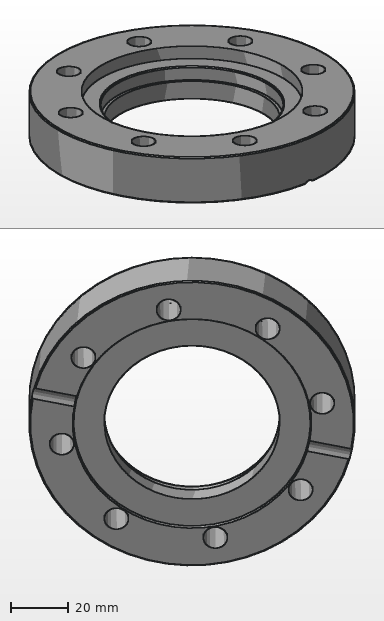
import cadquery as cq

flange_diameter = 113.5
flange_height = 17.5
rim_chamfer = 0.5
lip_bore_diameter = 77.0
recess_diameter = 83.2

bolt_count = 8
bolt_hole_diameter = 8.4
bolt_circle_diameter = 92.2

groove_width = 4.2
groove_depth = 1.0

insert_diameter = 82.4
insert_bore_diameter = 61.1
counterbore_diameter = 63.6
counterbore_chamfer = 0.5
insert_top_depth = 4.8
ledge_depth = 9.9
insert_setback = 0.9

lip_underside_z = flange_height - insert_top_depth
ledge_z = flange_height - ledge_depth


def cylinder(diameter, bottom_z, top_z):
    """Vertical cylinder centred on the Z axis."""
    return cq.Workplane("XY").workplane(offset=bottom_z).circle(diameter / 2).extrude(top_z - bottom_z)


def make_bolt_holes():
    """Cutters for the bolt holes."""
    half_pitch = 180 / bolt_count
    return (
        cq.Workplane("XY")
        .polarArray(bolt_circle_diameter / 2, half_pitch, 360, bolt_count)
        .circle(bolt_hole_diameter / 2)
        .extrude(flange_height)
    )


def make_groove():
    """Cutter along X with a circular-arc section, grooving both sides of the ring."""
    groove_radius = ((groove_width / 2) ** 2 + groove_depth ** 2) / (2 * groove_depth)
    return (
        cq.Workplane("YZ")
        .center(0, groove_depth - groove_radius)
        .circle(groove_radius)
        .extrude(flange_diameter / 2, both=True)
    )


def make_flange():
    """Outer bolted ring with a retaining lip at the top."""
    body = cylinder(flange_diameter, 0, flange_height).edges().chamfer(rim_chamfer)
    body = body.cut(cylinder(lip_bore_diameter, 0, flange_height))
    body = body.cut(cylinder(recess_diameter, 0, lip_underside_z))
    return body.cut(make_bolt_holes()).cut(make_groove())


def make_insert():
    """Inner ring with a stepped bore, chamfered at its mouth."""
    body = cylinder(insert_diameter, insert_setback, lip_underside_z)
    body = body.cut(cylinder(insert_bore_diameter, insert_setback, lip_underside_z))
    body = body.cut(cylinder(counterbore_diameter, ledge_z, lip_underside_z))
    mouth = cq.selectors.RadiusNthSelector(0)
    return body.faces(">Z").edges(mouth).chamfer(counterbore_chamfer)


flange = make_flange()
insert = make_insert()

result = cq.Compound.makeCompound([flange.val(), insert.val()])